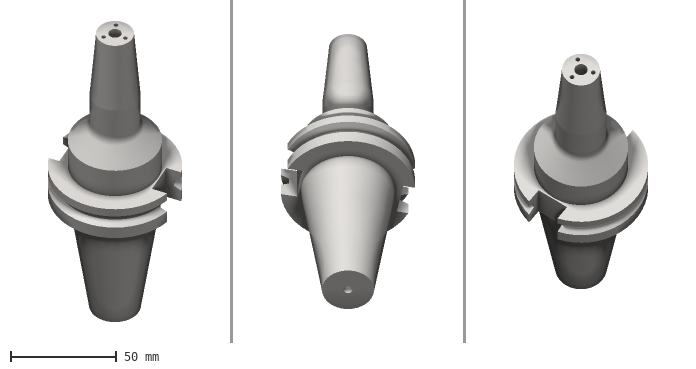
import cadquery as cq
import math

total_height = 169.8

taper_length = 68.5
gauge_radius = 22.3
shank_end_radius = gauge_radius - taper_length * 7 / 48

flange_bottom = 69.5
flange_top = 87.5
flange_radius = 31.8
groove_radius = 28.0
groove_center_height = 79.5
groove_floor_width = 3.4
groove_mouth_width = 7.0

shoulder_height = 103.3
neck_radius = 12.0
neck_top = 132.0
nose_radius = 9.0
neck_fillet = 5.1
shoulder_angle = math.radians(45)

slot_width = 16.5
left_slot_floor = 25.1
right_slot_floor = 23.0
pocket_diameter = 10.0
pocket_depth = 8.5
pocket_height = 79.5

bore_diameter = 6.3
bore_depth = 36.0
through_diameter = 4.2
coolant_diameter = 2.2
coolant_depth = 36.0
coolant_circle_radius = 6.0
coolant_count = 3
coolant_start_angle = -10.0


def revolved_body():
    """Outer shape, turned about Z from its half section."""
    floor_half = groove_floor_width / 2
    mouth_half = groove_mouth_width / 2

    fillet_center_radius = neck_radius + neck_fillet
    fillet_end_radius = fillet_center_radius - neck_fillet * math.cos(shoulder_angle)
    fillet_end_height = shoulder_height + (gauge_radius - fillet_end_radius) * math.tan(shoulder_angle)
    fillet_start_height = fillet_end_height + neck_fillet * math.sin(shoulder_angle)
    fillet_middle = (
        fillet_center_radius - neck_fillet * math.cos(shoulder_angle / 2),
        fillet_start_height - neck_fillet * math.sin(shoulder_angle / 2),
    )

    return (
        cq.Workplane("XZ")
        .lineTo(shank_end_radius, 0)
        .lineTo(gauge_radius, taper_length)
        .lineTo(gauge_radius, flange_bottom)
        .lineTo(flange_radius, flange_bottom)
        .lineTo(flange_radius, groove_center_height - mouth_half)
        .lineTo(groove_radius, groove_center_height - floor_half)
        .lineTo(groove_radius, groove_center_height + floor_half)
        .lineTo(flange_radius, groove_center_height + mouth_half)
        .lineTo(flange_radius, flange_top)
        .lineTo(gauge_radius, flange_top)
        .lineTo(gauge_radius, shoulder_height)
        .lineTo(fillet_end_radius, fillet_end_height)
        .threePointArc(fillet_middle, (neck_radius, fillet_start_height))
        .lineTo(neck_radius, neck_top)
        .lineTo(nose_radius, total_height)
        .lineTo(0, total_height)
        .close()
        .revolve(360, (0, 0), (0, 1))
    )


def drive_slot(side, floor_distance):
    """Cutter for a slot through the full flange height; side is -1 or +1 along X."""
    slot_depth = flange_radius - floor_distance
    return (
        cq.Workplane("XY", origin=(0, 0, flange_bottom))
        .center(side * (floor_distance + slot_depth / 2), 0)
        .rect(slot_depth, slot_width)
        .extrude(flange_top - flange_bottom)
    )


def slot_pocket():
    """Cutter for the blind round pocket in the floor of the -X slot."""
    return (
        cq.Workplane("YZ", origin=(-left_slot_floor, 0, pocket_height))
        .circle(pocket_diameter / 2)
        .extrude(pocket_depth)
    )


def tool_bore():
    """Cutter for the tool bore and the narrower passage through the whole holder."""
    bore = (
        cq.Workplane("XY", origin=(0, 0, total_height - bore_depth))
        .circle(bore_diameter / 2)
        .extrude(bore_depth)
    )
    passage = cq.Workplane("XY").circle(through_diameter / 2).extrude(total_height)
    return bore.union(passage)


def coolant_holes():
    """Cutters for the blind holes around the bore, each with a 90 degree drill point."""
    radius = coolant_diameter / 2
    hole = (
        cq.Workplane("XZ")
        .lineTo(radius, 0)
        .lineTo(radius, -coolant_depth)
        .lineTo(0, -coolant_depth - radius)
        .close()
        .revolve(360, (0, 0), (0, 1))
        .translate((coolant_circle_radius, 0, total_height))
    )
    holes = cq.Workplane("XY")
    for index in range(coolant_count):
        angle = coolant_start_angle + index * 360 / coolant_count
        holes = holes.add(hole.rotate((0, 0, 0), (0, 0, 1), angle))
    return holes.combine()


result = (
    revolved_body()
    .cut(drive_slot(-1, left_slot_floor))
    .cut(drive_slot(1, right_slot_floor))
    .cut(slot_pocket())
    .cut(tool_bore())
    .cut(coolant_holes())
)